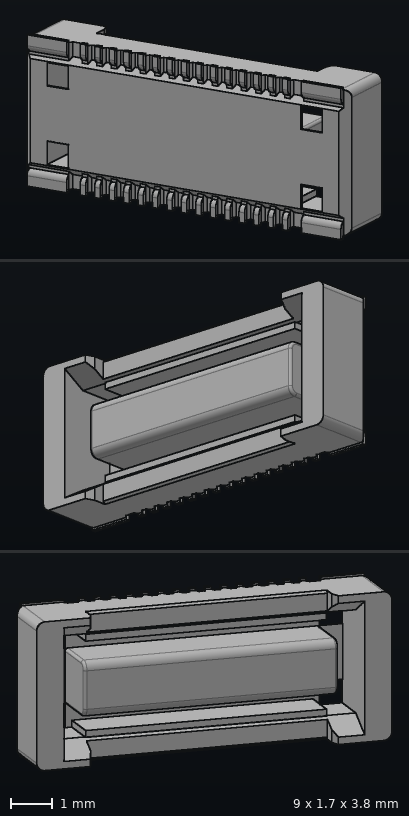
import cadquery as cq

LENGTH = 9.0
DEPTH = 1.7
HEIGHT = 3.8
HOUSING_HEIGHT = 3.69
CORNER_RADIUS = 0.21
REACH = HEIGHT

FACE_Y = 0.03
END_BEVEL = 0.225
FACE_HALF_HEIGHT = 1.305

LEAD_THICKNESS = 0.11
LEAD_BEND_RADIUS = 0.18
LEAD_BEND_Z = 1.63
LEAD_COUNT = 15
LEAD_ROW_LENGTH = 5.6
LEAD_PITCH = LEAD_ROW_LENGTH / (LEAD_COUNT - 1)
LEAD_WIDTH = 0.15
PAD_INNER_X = 3.25
PAD_OUTER_X = 4.35

RECESS_Y = 0.2
RECESS_TAPER = 0.05

FRONT_WALL = 0.05
CAVITY_HALF_LENGTH = 3.81
CAVITY_HALF_HEIGHT = 1.28
CAVITY_GAP = 0.585
LEAD_IN_HEIGHT = 0.38
LEAD_IN_DEPTH = 0.66
LEDGE_THICKNESS = 0.17
TONGUE_SETBACK = 0.24
TONGUE_TIP_RADIUS = 0.22
TONGUE_SIDE_RADIUS = 0.07

NOTCH_HALF_LENGTH = 3.05
NOTCH_DEPTH = 0.6
NOTCH_FLARE = 0.09
NOTCH_FLARE_DEPTH = 0.24
NOTCH_CHAMFER = 0.06


def box(x_min, x_max, y_min, y_max, z_min, z_max):
    size = (x_max - x_min, y_max - y_min, z_max - z_min)
    return cq.Workplane("XY").box(*size, centered=False).translate((x_min, y_min, z_min))


def prism_along_x(outline, x_min, x_max):
    """Extrude a closed (Y, Z) outline from x_min to x_max."""
    return outline.extrude(x_max - x_min).translate((x_min, 0, 0))


def with_mirror(upper):
    """Add the copy of an upper feature on the lower side of the part."""
    return upper.union(upper.mirror("XY"))


def make_housing():
    half_length = LENGTH / 2
    half_height = HOUSING_HEIGHT / 2
    body = box(-half_length, half_length, FACE_Y, DEPTH, -half_height, half_height)
    body = body.edges("|Y").fillet(CORNER_RADIUS)
    plan = (
        cq.Workplane("XY")
        .polyline([
            (-half_length, DEPTH),
            (-half_length, FACE_Y + END_BEVEL),
            (-half_length + END_BEVEL, FACE_Y),
            (half_length - END_BEVEL, FACE_Y),
            (half_length, FACE_Y + END_BEVEL),
            (half_length, DEPTH),
        ])
        .close()
        .extrude(HOUSING_HEIGHT / 2, both=True)
    )
    return body.intersect(plan)


def slope_cutter(floor_y, x_min, x_max):
    """Space above the 45 degree slope at the upper end of the face, back to floor_y."""
    outline = (
        cq.Workplane("YZ")
        .polyline([
            (0, FACE_HALF_HEIGHT - FACE_Y),
            (floor_y, FACE_HALF_HEIGHT - FACE_Y + floor_y),
            (floor_y, REACH),
            (0, REACH),
        ])
        .close()
    )
    return prism_along_x(outline, x_min, x_max)


def make_lead(x_min, x_max):
    """Upper lead with a flat front that curves back into the housing."""
    bend_drop = (LEAD_BEND_RADIUS**2 - (LEAD_BEND_RADIUS - LEAD_THICKNESS)**2)**0.5
    outline = (
        cq.Workplane("YZ")
        .moveTo(0, HEIGHT / 2)
        .lineTo(0, LEAD_BEND_Z)
        .radiusArc((LEAD_THICKNESS, LEAD_BEND_Z - bend_drop), -LEAD_BEND_RADIUS)
        .lineTo(LEAD_THICKNESS, HEIGHT / 2)
        .close()
    )
    return prism_along_x(outline, x_min, x_max)


def make_recess(x_min, x_max):
    """Tapered upper recess filling the gap between two leads."""
    plan = (
        cq.Workplane("XY")
        .polyline([
            (x_min, 0),
            (x_min, LEAD_THICKNESS),
            (x_min + RECESS_TAPER, RECESS_Y),
            (x_max - RECESS_TAPER, RECESS_Y),
            (x_max, LEAD_THICKNESS),
            (x_max, 0),
        ])
        .close()
        .extrude(REACH)
    )
    return plan.intersect(slope_cutter(RECESS_Y, x_min, x_max))


def make_cavity():
    cavity = box(
        -CAVITY_HALF_LENGTH, CAVITY_HALF_LENGTH,
        FACE_Y + FRONT_WALL, DEPTH,
        -CAVITY_HALF_HEIGHT, CAVITY_HALF_HEIGHT,
    )
    lead_in = (
        cq.Workplane("YZ")
        .polyline([
            (DEPTH - LEAD_IN_DEPTH, 0),
            (DEPTH - LEAD_IN_DEPTH, CAVITY_HALF_HEIGHT),
            (DEPTH, CAVITY_HALF_HEIGHT + LEAD_IN_HEIGHT),
            (DEPTH, 0),
        ])
        .close()
    )
    return cavity.union(with_mirror(prism_along_x(lead_in, -CAVITY_HALF_LENGTH, CAVITY_HALF_LENGTH)))


def make_ledge():
    """Upper ledge lining the long wall, from the front wall up to the notch floor."""
    return box(
        -NOTCH_HALF_LENGTH, NOTCH_HALF_LENGTH,
        FACE_Y, DEPTH - NOTCH_DEPTH,
        CAVITY_HALF_HEIGHT - LEDGE_THICKNESS, CAVITY_HALF_HEIGHT,
    )


def make_tongue():
    half_length = CAVITY_HALF_LENGTH - CAVITY_GAP
    half_height = CAVITY_HALF_HEIGHT - CAVITY_GAP
    tongue = box(-half_length, half_length, FACE_Y, DEPTH - TONGUE_SETBACK, -half_height, half_height)
    tongue = tongue.edges("|X and >Y").fillet(TONGUE_TIP_RADIUS)
    return tongue.edges("|Y").fillet(TONGUE_SIDE_RADIUS)


def make_corner_windows():
    """Four square holes through the front wall at the corners of the cavity."""
    windows = cq.Workplane("XY")
    for x_min in (-CAVITY_HALF_LENGTH, CAVITY_HALF_LENGTH - CAVITY_GAP):
        for z_min in (-CAVITY_HALF_HEIGHT, CAVITY_HALF_HEIGHT - CAVITY_GAP):
            window = box(x_min, x_min + CAVITY_GAP, 0, DEPTH, z_min, z_min + CAVITY_GAP)
            windows = windows.add(window)
    return windows.combine()


def make_wall_notch():
    """Notch across both long walls, flared at its mouth and chamfered at its floor."""
    floor_y = DEPTH - NOTCH_DEPTH
    flare_y = DEPTH - NOTCH_FLARE_DEPTH
    mouth = NOTCH_HALF_LENGTH + NOTCH_FLARE
    notch = (
        cq.Workplane("XY")
        .polyline([
            (-NOTCH_HALF_LENGTH, floor_y + NOTCH_CHAMFER),
            (-NOTCH_HALF_LENGTH, flare_y),
            (-mouth, DEPTH),
            (mouth, DEPTH),
            (NOTCH_HALF_LENGTH, flare_y),
            (NOTCH_HALF_LENGTH, floor_y + NOTCH_CHAMFER),
        ])
        .close()
        .extrude(REACH, both=True)
    )
    outer_z = HOUSING_HEIGHT / 2
    chamfer = (
        cq.Workplane("YZ")
        .polyline([
            (floor_y, outer_z),
            (floor_y + NOTCH_CHAMFER, outer_z - NOTCH_CHAMFER),
            (floor_y + NOTCH_CHAMFER, outer_z),
        ])
        .close()
    )
    return notch.union(with_mirror(prism_along_x(chamfer, -NOTCH_HALF_LENGTH, NOTCH_HALF_LENGTH)))


lead_ranges = [(-PAD_OUTER_X, -PAD_INNER_X)]
for index in range(LEAD_COUNT):
    center_x = index * LEAD_PITCH - LEAD_ROW_LENGTH / 2
    lead_ranges.append((center_x - LEAD_WIDTH / 2, center_x + LEAD_WIDTH / 2))
lead_ranges.append((PAD_INNER_X, PAD_OUTER_X))

housing = make_housing().cut(with_mirror(slope_cutter(LEAD_THICKNESS, -LENGTH / 2, LENGTH / 2)))
for left_lead, right_lead in zip(lead_ranges, lead_ranges[1:]):
    housing = housing.cut(with_mirror(make_recess(left_lead[1], right_lead[0])))

housing = housing.cut(make_cavity()).cut(make_wall_notch())
housing = housing.cut(make_corner_windows())
housing = housing.union(make_tongue()).union(with_mirror(make_ledge()))

result = housing
for x_min, x_max in lead_ranges:
    result = result.union(with_mirror(make_lead(x_min, x_max)))